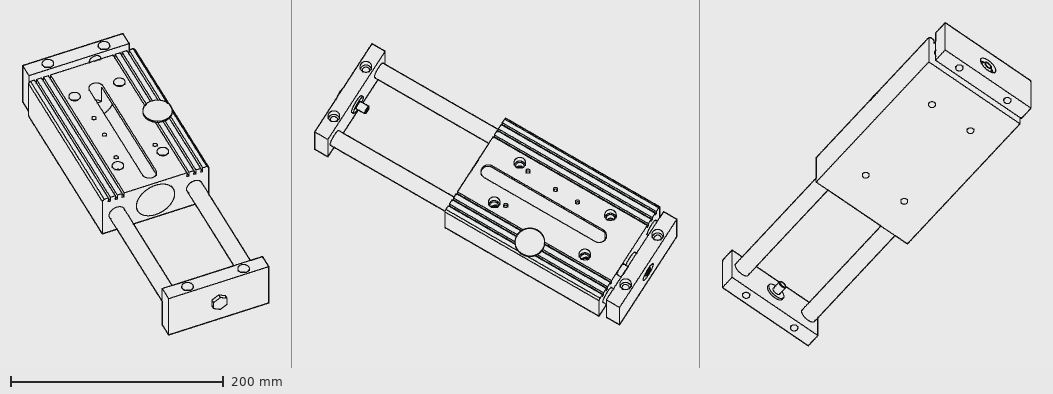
import cadquery as cq
import math


TOTAL_LENGTH = 340.0

PLATE_THICKNESS = 14.5
PLATE_WIDTH = 103.5
PLATE_HEIGHT = 49.0
HEAD_LENGTH = 3.7
FAR_PLATE_X = TOTAL_LENGTH - HEAD_LENGTH - PLATE_THICKNESS
PLATE_HOLE_DIAMETER = 6.8
PLATE_COUNTERBORE_DIAMETER = 11.0
PLATE_COUNTERBORE_DEPTH = 10.2
PLATE_HOLE_Y = 29.0

ROD_DIAMETER = 16.0
ROD_SPACING = 80.0
ROD_Y = ROD_SPACING / 2
ROD_LIFT = 1.0
ROD_CENTRES = [(ROD_Y, ROD_LIFT), (-ROD_Y, -ROD_LIFT)]

GAP = 6.0
CENTRE_STOP_DIAMETER = 20.0
CENTRE_STOP_CLEARANCE = 0.5
SIDE_STOP_DIAMETER = 12.0
SIDE_STOP_Y = 16.3
SIDE_STOP_Z = 16.5

SINK_DIAMETER = 18.5
SINK_DEPTH = 4.0
SCREW_DIAMETER = 14.0
SCREW_TIP_DIAMETER = 8.0
SOCKET_DIAMETER = 6.5
SOCKET_DEPTH = 3.5

HEX_ACROSS_FLATS = 14.0
COLLAR_DIAMETER = 18.5
COLLAR_THICKNESS = 2.0
STUD_DIAMETER = 8.0
STUD_LENGTH = 12.0
STUD_CHAMFER = 0.7

HOUSING_X = PLATE_THICKNESS + GAP
HOUSING_LENGTH = 170.0
HOUSING_WIDTH = 110.0
HOUSING_HEIGHT = 46.0
HOUSING_TOP = HOUSING_HEIGHT / 2
HOUSING_END_X = HOUSING_X + HOUSING_LENGTH
TOP_CHAMFER = 2.0

BORE_DIAMETER = 39.5
BORE_START_X = 51.7
WINDOW_START_X = 47.3
WINDOW_LENGTH = 136.0
WINDOW_WIDTH = 14.0

GROOVE_WIDTH = 2.0
GROOVE_DEPTH = 5.0
GROOVE_Y = [33.3, 40.5, 47.5]

MOUNT_FIRST_X = 55.8
MOUNT_SPACING_X = 100.0
MOUNT_Y = 23.0
MOUNT_HOLE_DIAMETER = 6.5
MOUNT_STEP_DIAMETER = 8.0
MOUNT_STEP_DEPTH = 20.5
MOUNT_COUNTERBORE_DIAMETER = 11.0
MOUNT_COUNTERBORE_DEPTH = 10.2

PIN_HOLE_DIAMETER = 4.0
PIN_HOLE_DEPTH = 5.0
DRILL_TIP_DEPTH = PIN_HOLE_DIAMETER / 2 * math.tan(math.radians(30))
PIN_HOLE_CENTRES = [(89.0, -18.0), (113.3, -18.0), (145.0, -20.0), (145.0, 20.0)]

COVER_DIAMETER = 28.0
COVER_X = 106.0
COVER_THICKNESS = PLATE_HEIGHT / 2 - HOUSING_TOP


def x_cylinder(diameter, start_x, end_x, y=0.0, z=0.0):
    """Cylinder along X between two stations."""
    return cq.Workplane("YZ", origin=(start_x, y, z)).circle(diameter / 2).extrude(end_x - start_x)


def drill_down(diameter, depth, top_z, centres):
    """Vertical cylinders that reach down from top_z, to be cut away."""
    return cq.Workplane("XY", origin=(0, 0, top_z)).pushPoints(centres).circle(diameter / 2).extrude(-depth)


def end_plate(start_x):
    """One end plate with its two counterbored holes."""
    plate = cq.Workplane("XY").box(PLATE_THICKNESS, PLATE_WIDTH, PLATE_HEIGHT, centered=(False, True, True))
    plate = plate.translate((start_x, 0, 0))
    top = PLATE_HEIGHT / 2
    centre_x = start_x + PLATE_THICKNESS / 2
    centres = [(centre_x, PLATE_HOLE_Y), (centre_x, -PLATE_HOLE_Y)]
    plate = plate.cut(drill_down(PLATE_HOLE_DIAMETER, PLATE_HEIGHT, top, centres))
    return plate.cut(drill_down(PLATE_COUNTERBORE_DIAMETER, PLATE_COUNTERBORE_DEPTH, top, centres))


def sunk_screw():
    """Conical screw head with a round socket, standing on the floor of its recess."""
    profile = [
        (SINK_DEPTH, 0),
        (SINK_DEPTH, SCREW_DIAMETER / 2),
        (0, SCREW_TIP_DIAMETER / 2),
        (0, SOCKET_DIAMETER / 2),
        (SOCKET_DEPTH, SOCKET_DIAMETER / 2),
        (SOCKET_DEPTH, 0),
    ]
    return cq.Workplane("XY").polyline(profile).close().revolve(360, (0, 0), (1, 0))


def far_bolt():
    """Stud and collar on the inner face of the +X plate, hex head on its outer face."""
    stud = x_cylinder(STUD_DIAMETER, FAR_PLATE_X - STUD_LENGTH, FAR_PLATE_X)
    stud = stud.faces("<X").chamfer(STUD_CHAMFER)
    collar = x_cylinder(COLLAR_DIAMETER, FAR_PLATE_X - COLLAR_THICKNESS, FAR_PLATE_X)
    hex_diameter = HEX_ACROSS_FLATS / math.cos(math.radians(30))
    head = cq.Workplane("YZ").polygon(6, hex_diameter).extrude(HEAD_LENGTH)
    head = head.rotate((0, 0, 0), (1, 0, 0), 90)
    head = head.translate((TOTAL_LENGTH - HEAD_LENGTH, 0, 0))
    return stud.union(collar).union(head)


def make_yoke():
    """Both end plates, the guide rods, the stops and the screws as one solid."""
    yoke = end_plate(0).cut(x_cylinder(SINK_DIAMETER, 0, SINK_DEPTH)).union(sunk_screw())
    yoke = yoke.union(end_plate(FAR_PLATE_X))
    for y, z in ROD_CENTRES:
        yoke = yoke.union(x_cylinder(ROD_DIAMETER, PLATE_THICKNESS, FAR_PLATE_X, y, z))
    stop_end_x = HOUSING_X - CENTRE_STOP_CLEARANCE
    yoke = yoke.union(x_cylinder(CENTRE_STOP_DIAMETER, PLATE_THICKNESS, stop_end_x))
    yoke = yoke.union(x_cylinder(SIDE_STOP_DIAMETER, PLATE_THICKNESS, HOUSING_X, SIDE_STOP_Y, SIDE_STOP_Z))
    return yoke.union(far_bolt())


def housing_block():
    """Plain block with its two long top edges chamfered."""
    block = cq.Workplane("XY").box(HOUSING_LENGTH, HOUSING_WIDTH, HOUSING_HEIGHT, centered=(False, True, True))
    return block.translate((HOUSING_X, 0, 0)).faces(">Z").edges("|X").chamfer(TOP_CHAMFER)


def groove_cutter():
    """Grooves that run the full length of the top, mirrored about y = 0."""
    centre_x = HOUSING_X + HOUSING_LENGTH / 2
    centres = [(centre_x, side * y) for y in GROOVE_Y for side in (1, -1)]
    grooves = cq.Workplane("XY", origin=(0, 0, HOUSING_TOP)).pushPoints(centres)
    return grooves.rect(HOUSING_LENGTH, GROOVE_WIDTH).extrude(-GROOVE_DEPTH)


def window_cutter():
    """Round-ended slot from the top down to the bore axis."""
    centre_x = WINDOW_START_X + WINDOW_LENGTH / 2
    window = cq.Workplane("XY").center(centre_x, 0).slot2D(WINDOW_LENGTH, WINDOW_WIDTH)
    return window.extrude(HOUSING_TOP)


def pin_hole_cutter(x, y):
    """Blind hole with a conical drill tip."""
    radius = PIN_HOLE_DIAMETER / 2
    profile = [(0, 0), (radius, 0), (radius, -PIN_HOLE_DEPTH), (0, -PIN_HOLE_DEPTH - DRILL_TIP_DEPTH)]
    hole = cq.Workplane("XZ").polyline(profile).close().revolve(360, (0, 0), (0, 1))
    return hole.translate((x, y, HOUSING_TOP))


def make_housing():
    """Housing with its bores, window, grooves, holes and top cover as one solid."""
    housing = housing_block().cut(groove_cutter())
    cover = cq.Workplane("XY", origin=(COVER_X, ROD_Y, HOUSING_TOP)).circle(COVER_DIAMETER / 2)
    housing = housing.union(cover.extrude(COVER_THICKNESS))

    housing = housing.cut(x_cylinder(BORE_DIAMETER, BORE_START_X, HOUSING_END_X))
    housing = housing.cut(window_cutter())
    for y, z in ROD_CENTRES:
        housing = housing.cut(x_cylinder(ROD_DIAMETER, HOUSING_X, HOUSING_END_X, y, z))

    mounts = [(MOUNT_FIRST_X + step * MOUNT_SPACING_X, side * MOUNT_Y) for step in (0, 1) for side in (1, -1)]
    mount_steps = [
        (MOUNT_HOLE_DIAMETER, HOUSING_HEIGHT),
        (MOUNT_STEP_DIAMETER, MOUNT_STEP_DEPTH),
        (MOUNT_COUNTERBORE_DIAMETER, MOUNT_COUNTERBORE_DEPTH),
    ]
    for diameter, depth in mount_steps:
        housing = housing.cut(drill_down(diameter, depth, HOUSING_TOP, mounts))

    for x, y in PIN_HOLE_CENTRES:
        housing = housing.cut(pin_hole_cutter(x, y))
    return housing


housing = make_housing()
yoke = make_yoke()

result = cq.Compound.makeCompound([housing.val(), yoke.val()])